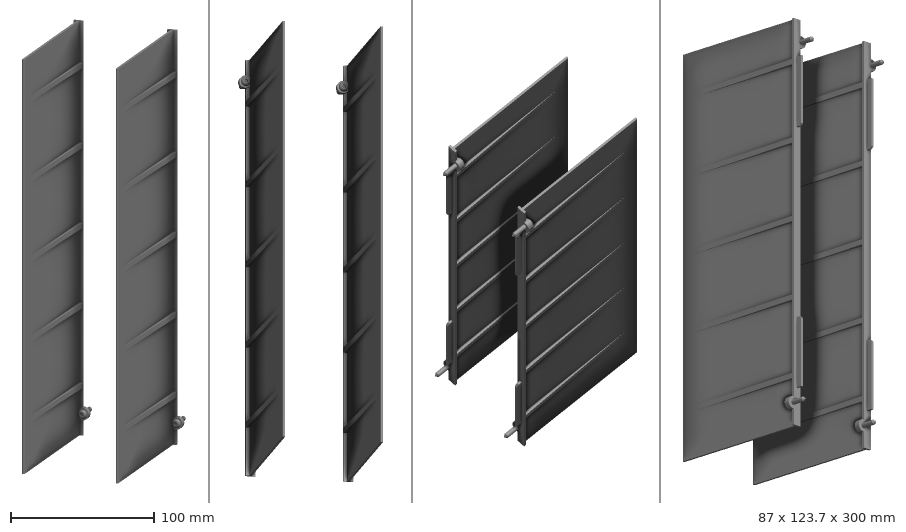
import cadquery as cq

fin_spacing = 70.0
fin_width = 17.0
height = 300.0
fin_centers_x = (-fin_spacing / 2, fin_spacing / 2)

flange_width = 7.0
flange_thickness = 1.95

blade_length = 111.5
blade_thickness = 1.8
root_thickness = 1.95
root_length = 19.2

rib_count = 5
rib_height = 4.0
rib_pitch = 58.0
rib_end = 100.2
rib_top_offset = 31.8

tab_thickness = 1.95
tab_depth = 4.8
tab_length = 52.0
tab_inset = 28.0
tab_chamfer = 1.8

screw_inset = 16.2
boss_radius = 4.5
screw_offset_x = fin_width / 2 - boss_radius
boss_length = 4.0
head_base_radius = 3.3
head_tip_radius = 1.95
head_length = 1.8
dome_middle_radius = 2.85
dome_middle_height = 1.2
socket_sides = 6
socket_diameter = 3.0
socket_depth = 1.5
shank_radius = 1.8
shank_length = 10.2
point_length = 2.0


def make_flange():
    """Flat strip with its rear face on Y = 0."""
    return cq.Workplane("XY").box(
        flange_width, flange_thickness, height, centered=(True, False, False)
    ).translate((0, -flange_thickness, 0))


def make_blade():
    """Thin blade with a slightly thicker tapered root and a fully rounded tip."""
    half_root = root_thickness / 2
    half_blade = blade_thickness / 2
    root_y = -flange_thickness / 2
    round_start_y = half_blade - blade_length
    return (
        cq.Workplane("XY")
        .moveTo(half_root, root_y)
        .lineTo(half_root, -flange_thickness)
        .lineTo(half_blade, -root_length)
        .lineTo(half_blade, round_start_y)
        .threePointArc((0, -blade_length), (-half_blade, round_start_y))
        .lineTo(-half_blade, -root_length)
        .lineTo(-half_root, -flange_thickness)
        .lineTo(-half_root, root_y)
        .close()
        .extrude(height)
    )


def make_rib(center_z):
    """Rib crossing the blade, narrowing from the flange width to the blade thickness."""
    profile = [
        (-flange_width / 2, -flange_thickness),
        (flange_width / 2, -flange_thickness),
        (blade_thickness / 2, -rib_end),
        (-blade_thickness / 2, -rib_end),
    ]
    rib = cq.Workplane("XY").polyline(profile).close().extrude(rib_height)
    return rib.translate((0, 0, center_z - rib_height / 2))


def make_lower_tab():
    """Rear tab near the lower end, with its upper rear corner chamfered."""
    tab = cq.Workplane("XY").box(
        tab_thickness, tab_depth, tab_length, centered=(True, False, False)
    )
    return tab.edges(">Y and >Z").chamfer(tab_chamfer).translate((0, 0, tab_inset))


def make_screw(x, z):
    """Pointed screw along Y with a round boss and a domed, socketed head at the front."""
    head_front = -(boss_length + head_length)
    dome_middle = (dome_middle_radius, -(boss_length + dome_middle_height))
    screw = (
        cq.Workplane("XY")
        .moveTo(0, head_front)
        .lineTo(head_tip_radius, head_front)
        .threePointArc(dome_middle, (head_base_radius, -boss_length))
        .lineTo(boss_radius, -boss_length)
        .lineTo(boss_radius, 0)
        .lineTo(shank_radius, 0)
        .lineTo(shank_radius, shank_length)
        .lineTo(0, shank_length + point_length)
        .close()
        .revolve(360, (0, 0, 0), (0, 1, 0))
    )
    socket = (
        cq.Workplane("XZ", origin=(0, head_front, 0))
        .polygon(socket_sides, socket_diameter)
        .extrude(-socket_depth)
    )
    return screw.cut(socket).translate((x, 0, z))


def make_fin():
    """One complete fin with its flange, ribs, tabs and screws as a single solid."""
    fin = make_flange().union(make_blade())
    for i in range(rib_count):
        fin = fin.union(make_rib(height - rib_top_offset - i * rib_pitch))
    lower_tab = make_lower_tab()
    upper_tab = lower_tab.mirror("XY", (0, 0, height / 2))
    fin = fin.union(lower_tab).union(upper_tab)
    fin = fin.union(make_screw(-screw_offset_x, height - screw_inset))
    return fin.union(make_screw(screw_offset_x, screw_inset))


fin = make_fin()
fins = [fin.translate((x, 0, 0)).val() for x in fin_centers_x]

result = cq.Compound.makeCompound(fins)